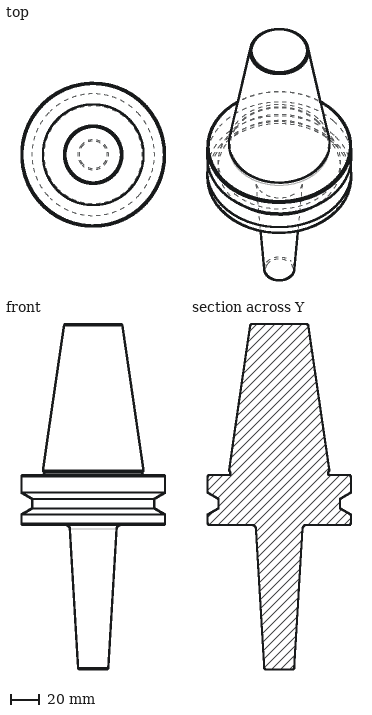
import cadquery as cq
import math

total_length = 239.8
shank_length = 101.7
nose_bottom = shank_length - total_length

gauge_radius = 35.0
shank_taper = 7 / 24
shank_top_radius = gauge_radius - shank_length * shank_taper / 2
shank_chamfer = 1.0

neck_radius = 34.0
neck_top = -1.5
neck_fillet = 1.0

flange_radius = 50.0
flange_top = -3.0
flange_bottom = -38.0
flange_chamfer = 1.0
groove_floor_radius = 42.5
groove_center = -23.0
groove_floor_width = 6.5
groove_flank_angle = 30
groove_flank_height = (flange_radius - groove_floor_radius) * math.tan(math.radians(groove_flank_angle))
groove_floor_half = groove_floor_width / 2
groove_mouth_half = groove_floor_half + groove_flank_height

nose_root_radius = 16.3
nose_root_fillet = 2.9
nose_root = flange_bottom - nose_root_fillet
nose_tip_radius = 10.5
nose_chamfer = 1.0

arc_middle = 1 - math.sqrt(0.5)

profile = (
    cq.Workplane("XZ")
    .moveTo(0, shank_length)
    .lineTo(shank_top_radius - shank_chamfer, shank_length)
    .lineTo(shank_top_radius + shank_chamfer * shank_taper / 2, shank_length - shank_chamfer)
    .lineTo(gauge_radius, 0)
    .lineTo(neck_radius, neck_top)
    .lineTo(neck_radius, flange_top + neck_fillet)
    .threePointArc(
        (neck_radius + neck_fillet * arc_middle, flange_top + neck_fillet * arc_middle),
        (neck_radius + neck_fillet, flange_top),
    )
    .lineTo(flange_radius - flange_chamfer, flange_top)
    .lineTo(flange_radius, flange_top - flange_chamfer)
    .lineTo(flange_radius, groove_center + groove_mouth_half)
    .lineTo(groove_floor_radius, groove_center + groove_floor_half)
    .lineTo(groove_floor_radius, groove_center - groove_floor_half)
    .lineTo(flange_radius, groove_center - groove_mouth_half)
    .lineTo(flange_radius, flange_bottom + flange_chamfer)
    .lineTo(flange_radius - flange_chamfer, flange_bottom)
    .lineTo(nose_root_radius + nose_root_fillet, flange_bottom)
    .threePointArc(
        (nose_root_radius + nose_root_fillet * arc_middle, flange_bottom - nose_root_fillet * arc_middle),
        (nose_root_radius, nose_root),
    )
    .lineTo(nose_tip_radius, nose_bottom + nose_chamfer)
    .lineTo(nose_tip_radius - nose_chamfer, nose_bottom)
    .lineTo(0, nose_bottom)
    .close()
)

result = profile.revolve(360, (0, 0, 0), (0, 1, 0))